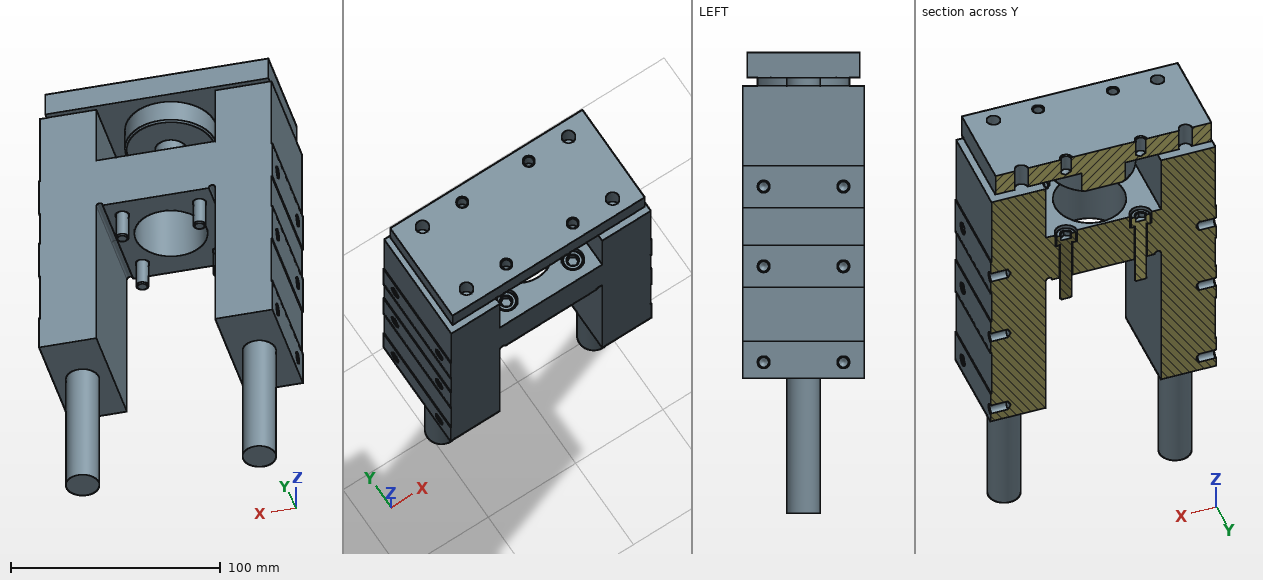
import cadquery as cq
import math

total_height = 220.0
plate_length = 110.0
plate_width = 54.0
plate_thickness = 12.0
boss_diameter = 44.0
boss_height = 11.9
boss_chamfer = 0.9
stub_diameter = 15.2
stub_height = 10.0
stub_chamfer = 0.7
rod_diameter = 16.0
rod_offset = 43.5
clear_hole_diameter = 6.5
clear_hole_offset = 41.8

housing_length = 115.0
housing_width = 58.0
housing_bottom = 64.5
plate_gap = 4.0
leg_inner_x = 29.3
bridge_top = 173.0
bridge_bottom = 145.0
bridge_bore_diameter = 35.0
relief_radius = 1.5
side_step = 0.5
band_height = 20.0
band_centers = (156.0, 118.0, 72.2)

hole_pitch = 38.0
tap_diameter = 4.8
tap_mouth_diameter = 6.0
tap_depth = 8.8
drill_point_angle = 118.0

thread_diameter = 6.0
thread_chamfer = 0.7
screw_protrusion = 14.0
head_diameter = 10.0
head_height = 6.0
head_chamfer = 0.5
counterbore_diameter = 11.0
counterbore_depth = 7.0
socket_across_flats = 5.0
socket_depth = 3.0
socket_mouth_diameter = 6.2
socket_mouth_depth = 0.5
socket_mouth_slope = 45.0

plate_bottom = total_height - plate_thickness
housing_top = plate_bottom - plate_gap
head_seat = bridge_top - counterbore_depth
half_pitch = hole_pitch / 2
screw_points = [(x, y) for x in (-half_pitch, half_pitch) for y in (-half_pitch, half_pitch)]


def cylinder(diameter, x, y, z_low, z_high):
    """Upright cylinder between two levels."""
    return cq.Workplane(cq.Plane((x, y, z_low))).circle(diameter / 2).extrude(z_high - z_low)


def slab(x_low, x_high, width, z_low, z_high):
    """Block centred on the XZ plane."""
    block = cq.Workplane().box(x_high - x_low, width, z_high - z_low, centered=(False, True, False))
    return block.translate((x_low, 0, z_low))


def threaded_hole(mouth, outward):
    """Blind drilled hole with a conical bottom and a chamfered mouth, as a cutting solid."""
    tap_radius = tap_diameter / 2
    mouth_radius = tap_mouth_diameter / 2
    mouth_chamfer = mouth_radius - tap_radius
    point_length = tap_radius / math.tan(math.radians(drill_point_angle / 2))
    radial = cq.Vector(0, 1, 0)
    half_section = (
        cq.Workplane(cq.Plane(mouth, xDir=radial, normal=radial.cross(outward)))
        .moveTo(0, 0)
        .lineTo(mouth_radius, 0)
        .lineTo(tap_radius, -mouth_chamfer)
        .lineTo(tap_radius, -tap_depth)
        .lineTo(0, -tap_depth - point_length)
        .close()
    )
    return half_section.revolve(360, (0, 0), (0, 1))


def make_plate():
    plate = slab(-plate_length / 2, plate_length / 2, plate_width, plate_bottom, total_height)

    boss_bottom = plate_bottom - boss_height
    boss = cylinder(boss_diameter, 0, 0, boss_bottom, plate_bottom).faces("<Z").chamfer(boss_chamfer)
    stub = cylinder(stub_diameter, 0, 0, boss_bottom - stub_height, boss_bottom)
    stub = stub.faces("<Z").chamfer(stub_chamfer)
    plate = plate.union(boss).union(stub)

    for x in (-rod_offset, rod_offset):
        plate = plate.union(cylinder(rod_diameter, x, 0, 0, plate_bottom))

    for x in (-clear_hole_offset, clear_hole_offset):
        for y in (-half_pitch, half_pitch):
            plate = plate.cut(cylinder(clear_hole_diameter, x, y, plate_bottom, total_height))

    for x, y in screw_points:
        plate = plate.cut(threaded_hole((x, y, total_height), cq.Vector(0, 0, 1)))
    return plate


def cut_side_recesses(housing):
    """Recess both outer sides above and between the mounting bands."""
    recess_top = housing_top
    for center in band_centers:
        recess_bottom = center + band_height / 2
        for x in (-housing_length / 2, housing_length / 2 - side_step):
            housing = housing.cut(slab(x, x + side_step, housing_width, recess_bottom, recess_top))
        recess_top = center - band_height / 2
    return housing


def make_housing():
    housing = slab(-housing_length / 2, housing_length / 2, housing_width, housing_bottom, housing_top)

    housing = housing.cut(slab(-leg_inner_x, leg_inner_x, housing_width, bridge_top, housing_top))
    housing = housing.cut(slab(-leg_inner_x, leg_inner_x, housing_width, housing_bottom, bridge_bottom))
    relief_x = leg_inner_x - relief_radius
    reliefs = (
        cq.Workplane("XZ")
        .pushPoints([(-relief_x, bridge_bottom), (relief_x, bridge_bottom)])
        .circle(relief_radius)
        .extrude(housing_width / 2, both=True)
    )
    housing = cut_side_recesses(housing.cut(reliefs))

    housing = housing.cut(cylinder(bridge_bore_diameter, 0, 0, bridge_bottom, bridge_top))
    for x in (-rod_offset, rod_offset):
        housing = housing.cut(cylinder(rod_diameter, x, 0, housing_bottom, housing_top))

    for x, y in screw_points:
        housing = housing.cut(cylinder(clear_hole_diameter, x, y, bridge_bottom, head_seat))
        housing = housing.cut(cylinder(counterbore_diameter, x, y, head_seat, bridge_top))

    for z in band_centers:
        for y in (-half_pitch, half_pitch):
            for side in (-1, 1):
                mouth = (side * housing_length / 2, y, z)
                housing = housing.cut(threaded_hole(mouth, cq.Vector(side, 0, 0)))
    return housing


def make_screw(x, y):
    """Socket head screw standing on the counterbore floor."""
    head_top = head_seat + head_height
    head = cylinder(head_diameter, x, y, head_seat, head_top).faces(">Z").chamfer(head_chamfer)
    thread = cylinder(thread_diameter, x, y, bridge_bottom - screw_protrusion, head_seat)
    thread = thread.faces("<Z").chamfer(thread_chamfer)
    head_face = cq.Workplane(cq.Plane((x, y, head_top)))
    socket = head_face.polygon(6, socket_across_flats, circumscribed=True).extrude(-socket_depth)
    mouth = head_face.circle(socket_mouth_diameter / 2).extrude(-socket_mouth_depth, taper=socket_mouth_slope)
    return head.union(thread).cut(socket).cut(mouth)


plate = make_plate()
housing = make_housing()
screws = [make_screw(x, y) for x, y in screw_points]

result = cq.Compound.makeCompound([plate.val(), housing.val(), *[screw.val() for screw in screws]])